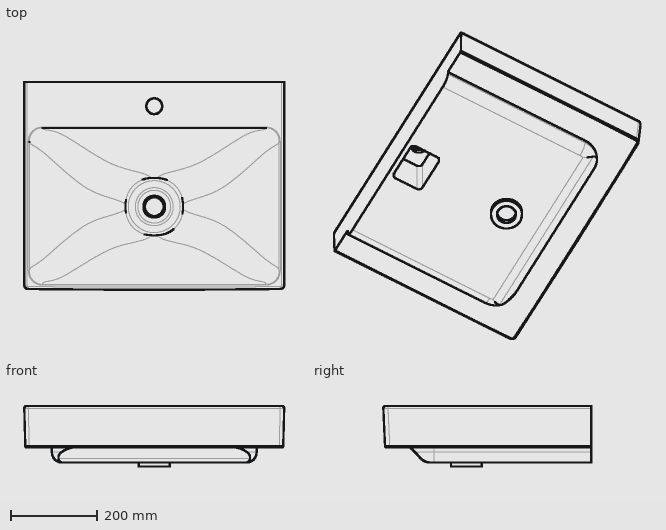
import cadquery as cq


width = 603.0
depth = 482.5
slab_height = 96.5
front_bow = 2.0
side_draft = 2.5
front_draft = 4.0
upright_band = 6.5
corner_radius = 9.5
top_edge_radius = 6.0
bottom_edge_chamfer = 3.0

join_overlap = 6.0

body_half_width = 237.5
body_depth = 419.0
body_bottom = 131.5
body_side_radius = 24.0
body_front_run = 32.5
body_slope_radius = 30.0
body_corner_radius = 54.0

drain_y = -289.5
total_height = 141.0
boss_radius = 36.0
drain_rim_radius = 60.5
drain_rim_depth = 102.5
drain_lip_radius = 44.0
drain_seat_radius = 38.0
drain_throat_radius = 25.5
drain_hole_radius = 22.0
drain_lip_depth = drain_rim_depth + 6.0
drain_seat_depth = drain_rim_depth + 10.0
drain_throat_depth = drain_rim_depth + 18.0
drain_hole_depth = drain_rim_depth + 25.0

floor_half = 66.5
basin_rings = [
    (0.0, 290.0, -106.0, -470.5, 30.0),
    (15.0, 279.0, -113.0, -462.0, 36.0),
    (46.0, 241.0, -132.0, -443.0, 45.0),
    (84.5, 178.5, -177.5, -399.5, 54.0),
    (98.0, 114.5, -205.0, -374.0, 60.5),
    (drain_rim_depth, floor_half, drain_y + floor_half, drain_y - floor_half, drain_rim_radius),
]
basin_lip = 3.0

tap_y = -57.0
tap_diameter = 36.0
deck_thickness = 14.0
pocket_half_width = 47.5
pocket_back_y = -12.0
pocket_front_y = -87.5
pocket_corner_radius = 9.5


def slab_outline(z, side_inset, front_inset):
    """Rounded-front plan of the slab at height z, drawn in by the given insets."""
    half = width / 2 - side_inset
    front = front_inset - depth
    corner_y = front + front_bow
    return (
        cq.Workplane("XY", origin=(0, 0, z))
        .moveTo(-half, 0)
        .lineTo(-half, corner_y)
        .threePointArc((0, front), (half, corner_y))
        .lineTo(half, 0)
        .close()
    )


def make_slab():
    band = slab_outline(-upright_band, 0, 0).extrude(upright_band)
    upper = slab_outline(-upright_band, 0, 0).wires().val()
    lower = slab_outline(-slab_height, side_draft, front_draft).wires().val()
    skirt = cq.Workplane(cq.Solid.makeLoft([upper, lower], True))
    slab = band.union(skirt)

    reach = 12.0
    top_gap = 1.0
    front_y = front_bow - depth
    for side_x in (-width / 2, width / 2):
        corner_box = cq.selectors.BoxSelector(
            (side_x - reach, front_y - reach, -slab_height + reach),
            (side_x + reach, front_y + reach, -top_gap),
        )
        slab = slab.edges(corner_box).fillet(corner_radius)

    slab = slab.faces(">Z").edges("not >Y").fillet(top_edge_radius)
    return slab.faces("<Z").edges("not >Y").chamfer(bottom_edge_chamfer)


def make_body():
    """Bowl body: rounded box whose front slopes up to the slab."""
    top = join_overlap - slab_height
    side_profile = (
        cq.Workplane("YZ")
        .polyline([
            (0, top),
            (-body_depth, top),
            (-body_depth, -slab_height),
            (body_front_run - body_depth, -body_bottom),
            (0, -body_bottom),
        ])
        .close()
        .extrude(body_half_width, both=True)
        .faces("<Z")
        .edges("<Y")
        .fillet(body_slope_radius)
    )
    plan_block = (
        cq.Workplane("XY", origin=(0, -body_depth / 2, -body_bottom))
        .rect(2 * body_half_width, body_depth)
        .extrude(body_bottom + top)
        .edges("|Z and <Y")
        .fillet(body_corner_radius)
    )
    plan_block = plan_block.faces("<Z").edges("not >Y").fillet(body_side_radius)
    return side_profile.intersect(plan_block)


def make_basin():
    """Smooth bowl lofted through rounded rectangles that shrink with depth."""
    rings = []
    for ring_depth, half_width, back_y, front_y, radius in basin_rings:
        outline = cq.Sketch().rect(2 * half_width, back_y - front_y).vertices().fillet(radius)
        centre = cq.Vector(0, (back_y + front_y) / 2, -ring_depth)
        rings.append(outline.moved(cq.Location(centre)))
    return cq.Workplane("XY").placeSketch(*rings).loft()


def round_basin_rim(part):
    """Round the edges where the basin opens through the top face."""
    margin = 0.5
    _, half_width, back_y, front_y, _ = basin_rings[0]
    rim_box = cq.selectors.BoxSelector(
        (-half_width - margin, front_y - margin, -margin),
        (half_width + margin, back_y + margin, margin),
    )
    return part.edges(rim_box).fillet(basin_lip)


def make_drain():
    """Turned cutter for the drain: rounded lip, seat, funnel and through hole."""
    lip_run = drain_rim_radius - drain_lip_radius
    lip_drop = drain_lip_depth - drain_rim_depth
    lip_arc_radius = (lip_run**2 + lip_drop**2) / (2 * lip_drop)
    return (
        cq.Workplane("XZ", origin=(0, drain_y, 0))
        .moveTo(0, -drain_rim_depth)
        .lineTo(drain_rim_radius, -drain_rim_depth)
        .radiusArc((drain_lip_radius, -drain_lip_depth), -lip_arc_radius)
        .lineTo(drain_seat_radius, -drain_seat_depth)
        .lineTo(drain_throat_radius, -drain_throat_depth)
        .lineTo(drain_hole_radius, -drain_hole_depth)
        .lineTo(drain_hole_radius, -total_height)
        .lineTo(0, -total_height)
        .close()
        .revolve(360, (0, 0, 0), (0, 1, 0))
    )


def make_tap_pocket():
    return (
        cq.Workplane("XY", origin=(0, (pocket_back_y + pocket_front_y) / 2, -body_bottom))
        .rect(2 * pocket_half_width, pocket_back_y - pocket_front_y)
        .extrude(body_bottom - deck_thickness)
        .edges("|Z")
        .fillet(pocket_corner_radius)
    )


def make_boss():
    """Short round outlet under the drain, sunk into the body so that they join."""
    return (
        cq.Workplane("XY", origin=(0, drain_y, -total_height))
        .circle(boss_radius)
        .extrude(total_height - body_bottom + join_overlap)
    )


def make_tap_hole():
    return (
        cq.Workplane("XY", origin=(0, tap_y, -deck_thickness))
        .circle(tap_diameter / 2)
        .extrude(deck_thickness)
    )


result = make_slab().union(make_body()).union(make_boss())
result = round_basin_rim(result.cut(make_basin()))
result = result.cut(make_drain()).cut(make_tap_pocket()).cut(make_tap_hole())